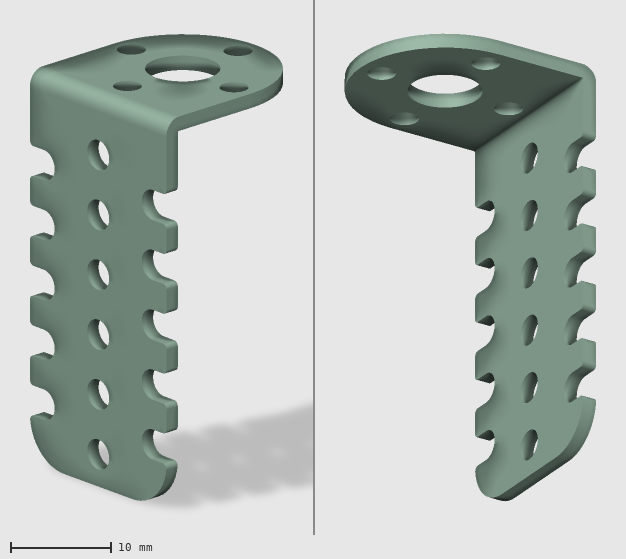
import cadquery as cq

width = 20.0
flange_depth = 21.5
height = 41.5
thickness = 1.55
inner_bend_radius = 0.145
outer_bend_radius = inner_bend_radius + thickness

flange_end_radius = width / 2
flange_center_y = flange_depth - flange_end_radius
center_hole_diameter = 7.5
screw_hole_diameter = 2.9
screw_circle_diameter = 15.02
screw_hole_count = 4

pitch = 6.35
leg_hole_count = 6
leg_hole_diameter = 3.2
slot_width = leg_hole_diameter
slot_depth = 3.6
slot_mouth_radius = 0.5
leg_corner_radius = 5.0
leg_hole_heights = [-pitch * (i + 1) for i in range(leg_hole_count)]
slot_heights = [z - pitch / 2 for z in leg_hole_heights[:-1]]



def bent_sheet():
    """Constant-thickness L profile across the full width."""
    profile = (
        cq.Workplane("YZ")
        .moveTo(0, -height)
        .lineTo(0, -outer_bend_radius)
        .radiusArc((outer_bend_radius, 0), outer_bend_radius)
        .lineTo(flange_depth, 0)
        .lineTo(flange_depth, -thickness)
        .lineTo(outer_bend_radius, -thickness)
        .radiusArc((thickness, -outer_bend_radius), -inner_bend_radius)
        .lineTo(thickness, -height)
        .close()
    )
    return profile.extrude(width / 2, both=True)


def rounded_flange_end(body):
    """Trim the flange to a half-round end."""
    plan = (
        cq.Workplane("XY")
        .moveTo(-width / 2, 0)
        .lineTo(-width / 2, flange_center_y)
        .threePointArc((0, flange_depth), (width / 2, flange_center_y))
        .lineTo(width / 2, 0)
        .close()
        .extrude(-height)
    )
    return body.intersect(plan)


def flange_holes():
    """Large centre hole surrounded by the screw holes."""
    plane = cq.Workplane("XY").center(0, flange_center_y)
    center_hole = plane.circle(center_hole_diameter / 2).extrude(-thickness)
    screw_holes = (
        plane.polarArray(screw_circle_diameter / 2, 0, 360, screw_hole_count)
        .circle(screw_hole_diameter / 2)
        .extrude(-thickness)
    )
    return center_hole.union(screw_holes)


def leg_holes():
    """Single column of holes down the middle of the leg."""
    centers = [(0, z) for z in leg_hole_heights]
    return cq.Workplane("XZ").pushPoints(centers).circle(leg_hole_diameter / 2).extrude(-thickness)


def edge_slots():
    """Round-ended slots open to both side edges, midway between the holes."""
    centers = [(side * width / 2, z) for z in slot_heights for side in (-1, 1)]
    return cq.Workplane("XZ").pushPoints(centers).slot2D(2 * slot_depth, slot_width).extrude(-thickness)


def round_slot_mouths(body):
    """Round the corners where each slot opens onto the side of the leg."""
    reach = slot_mouth_radius
    along_thickness = cq.selectors.ParallelDirSelector(cq.Vector(0, 1, 0))
    corners = cq.Workplane("XY")
    for z in slot_heights:
        for side in (-1, 1):
            around_mouth = cq.selectors.BoxSelector(
                (side * width / 2 - reach, 0, z - slot_width),
                (side * width / 2 + reach, thickness, z + slot_width),
            )
            corners.add(body.edges(along_thickness & around_mouth).vals())
    return body.newObject(corners.vals()).fillet(slot_mouth_radius)


body = rounded_flange_end(bent_sheet())
body = body.faces("<Z").edges("|Y").fillet(leg_corner_radius)
body = body.cut(flange_holes()).cut(leg_holes()).cut(edge_slots())
result = round_slot_mouths(body)